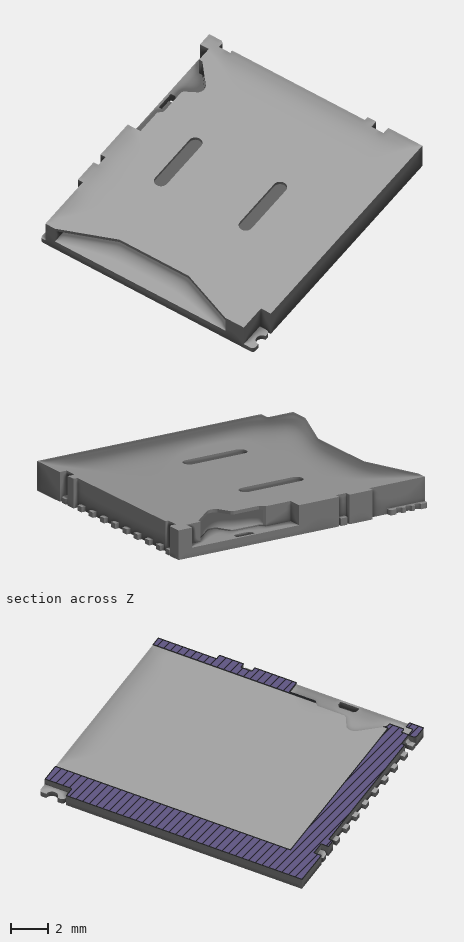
import cadquery as cq

width = 13.85
length = 15.95
height = 1.67
left = -width / 2
right = width / 2
front = -length / 2
back = length / 2

roof_thickness = 0.19
cavity_floor = 0.62
cavity_left = left + 0.94
cavity_width = 11.07
cavity_right = cavity_left + cavity_width
cavity_length = 14.26

finger_depth = 1.32
finger_inner_width = 4.48

slot_width = 0.77
slot_length = 4.0
slot_pitch = 5.5
slot_count = 2
slot_first_x = left + 3.72
slot_center_y = front + 7.61

tab_height = 0.3
tab_gap = 0.11

left_step = 0.32
left_step_length = 3.54
left_tab_length = 2.41
left_tab_round = 0.16
left_scallop_radius = 0.19
left_scallop_first = 0.64
left_scallop_pitch = 0.59
left_scallop_count = 3
right_step = 0.64
right_step_length = 1.63
right_tab_length = right_step_length - tab_gap
right_tab_round = 0.19
right_scallop_radius = 0.33
right_scallop_place = 0.78

latch_slot_depth = 0.32
latch_slot_length = 0.65
latch_slot_start = front + 5.02
latch_height = 0.43

ledge_height = 0.55
window_back_y = back - 0.88
window_front_y = back - 7.7
window_main_depth = 1.08
window_main_back_y = back - 4.23
window_main_front_y = back - 5.87
window_back_depth = 0.57
window_front_depth = 0.83
window_corner_cut = window_main_depth - window_front_depth

nose_start_depth = 0.78
nose_start_y = back - 1.79
nose_tip_back = (left + 1.9, back - 3.08)
nose_tip = (left + 1.98, back - 3.4)
nose_tip_front = (left + 1.85, back - 3.7)
nose_end_cut_x = 0.08
nose_end_cut_y = 0.13

pocket_left = left + 0.41
pocket_width = 0.45
pocket_depth = 0.41
pocket_floor = 0.67
pocket_top = 1.02

ledge_hole_left = left + 0.15
ledge_hole_center_y = back - 4.4
ledge_hole_width = 0.43
ledge_hole_length = 1.15
ledge_hole_chamfer = 0.16
ledge_tab_width = 0.3
ledge_tab_length = 0.77
ledge_tab_chamfer = 0.1
ledge_tab_height = 0.15

pin_row_left = left + 1.67
pin_row_right = left + 10.29
pin_row_depth = 0.25
pin_width = 0.4
pin_pitch = 1.1
pin_first_x = left + 2.0
pin_count = 8
back_notch_depth = 0.45
left_notch_start = left + 0.94
left_notch_chamfer = 0.11
left_back_tab_width = 0.32
left_back_ramp = 0.15
right_notch_start = left + 10.85
right_notch_width = 0.78
right_back_tab_width = 0.7
right_back_tab_chamfer = 0.19


def block(x_min, x_max, y_min, y_max, z_min, z_max):
    """Box given by its limits along each axis."""
    return cq.Workplane("XY").box(
        x_max - x_min, y_max - y_min, z_max - z_min, centered=False
    ).translate((x_min, y_min, z_min))


def edge_tab(inner_x, outer_x, tab_length, corner_round, scallop_radius, scallop_places):
    """Low tab at a front corner, scalloped along its outer side."""
    x_min, x_max = sorted((inner_x, outer_x))
    outer_corners = "|Z and >X" if outer_x > inner_x else "|Z and <X"
    tab = block(x_min, x_max, front, front + tab_length, 0, tab_height)
    tab = tab.edges(outer_corners).fillet(corner_round)
    centers = [(outer_x, front + place) for place in scallop_places]
    scallops = cq.Workplane("XY").pushPoints(centers).circle(scallop_radius).extrude(tab_height)
    return tab.cut(scallops)


def cut_cavity(body):
    cavity = block(
        cavity_left, cavity_right,
        front, front + cavity_length,
        cavity_floor, height - roof_thickness,
    )
    middle_x = (cavity_left + cavity_right) / 2
    finger_recess = (
        cq.Workplane("XY", origin=(0, 0, cavity_floor))
        .moveTo(cavity_left, front)
        .lineTo(middle_x - finger_inner_width / 2, front + finger_depth)
        .lineTo(middle_x + finger_inner_width / 2, front + finger_depth)
        .lineTo(cavity_right, front)
        .close()
        .extrude(height - cavity_floor)
    )
    slots = (
        cq.Workplane("XY", origin=(0, 0, cavity_floor))
        .pushPoints([(slot_first_x + i * slot_pitch, slot_center_y) for i in range(slot_count)])
        .slot2D(slot_length, slot_width, 90)
        .extrude(height - cavity_floor)
    )
    return body.cut(cavity).cut(finger_recess).cut(slots)


def cut_side_window(body):
    main_x = left + window_main_depth
    back_x = left + window_back_depth
    front_x = left + window_front_depth
    window = (
        cq.Workplane("XY", origin=(0, 0, ledge_height))
        .moveTo(left, window_back_y)
        .lineTo(back_x, window_back_y)
        .lineTo(back_x, nose_start_y)
        .lineTo(left + nose_start_depth, nose_start_y)
        .lineTo(*nose_tip_back)
        .threePointArc(nose_tip, nose_tip_front)
        .lineTo(main_x + nose_end_cut_x, window_main_back_y + nose_end_cut_y)
        .lineTo(main_x, window_main_back_y)
        .lineTo(main_x, window_main_front_y)
        .lineTo(front_x, window_main_front_y - window_corner_cut)
        .lineTo(front_x, window_front_y)
        .lineTo(left, window_front_y)
        .close()
        .extrude(height - ledge_height)
    )
    pocket = block(
        pocket_left, pocket_left + pocket_width,
        window_back_y, window_back_y + pocket_depth,
        pocket_floor, pocket_top,
    )
    return body.cut(window).cut(pocket)


def d_shape(shape_width, shape_length, chamfer, shape_height):
    """Upright block in the ledge hole with both inner corners chamfered."""
    shape = block(
        ledge_hole_left,
        ledge_hole_left + shape_width,
        ledge_hole_center_y - shape_length / 2,
        ledge_hole_center_y + shape_length / 2,
        0,
        shape_height,
    )
    return shape.edges("|Z and >X").chamfer(chamfer)


def cut_ledge_hole(body):
    hole = d_shape(ledge_hole_width, ledge_hole_length, ledge_hole_chamfer, ledge_height)
    tab = d_shape(ledge_tab_width, ledge_tab_length, ledge_tab_chamfer, ledge_tab_height)
    return body.cut(hole).union(tab)


def shape_front_corners(body):
    body = body.cut(block(left, left + left_step, front, front + left_step_length, 0, height))
    body = body.cut(block(right - right_step, right, front, front + right_step_length, 0, height))
    left_places = [left_scallop_first + i * left_scallop_pitch for i in range(left_scallop_count)]
    left_tab = edge_tab(
        left + left_step, left, left_tab_length, left_tab_round, left_scallop_radius, left_places
    )
    right_tab = edge_tab(
        right - right_step, right, right_tab_length, right_tab_round,
        right_scallop_radius, [right_scallop_place],
    )
    return body.union(left_tab).union(right_tab)


def shape_latch(body):
    latch_slot_end = latch_slot_start + latch_slot_length
    slot = block(left, left + latch_slot_depth, latch_slot_start, latch_slot_end, 0, height)
    latch = block(
        left, left + latch_slot_depth,
        latch_slot_start + tab_gap, latch_slot_end - tab_gap,
        0, latch_height,
    )
    return body.cut(slot).union(latch)


def shape_back_edge(body):
    notch_y = back - back_notch_depth
    pin_row_y = back - pin_row_depth
    right_notch_end = right_notch_start + right_notch_width

    body = body.cut(block(pin_row_left, pin_row_right, pin_row_y, back, 0, height))
    body = body.cut(block(left_notch_start, pin_row_left, notch_y, back, 0, height))
    body = body.cut(block(right_notch_start, right_notch_end, notch_y, back, 0, height))

    corner = (
        cq.Workplane("XY")
        .moveTo(left_notch_start - left_notch_chamfer, back)
        .lineTo(left_notch_start, back)
        .lineTo(left_notch_start, back - left_notch_chamfer)
        .close()
        .extrude(height)
    )
    body = body.cut(corner)

    for i in range(pin_count):
        pin_x = pin_first_x + i * pin_pitch
        body = body.union(
            block(pin_x - pin_width / 2, pin_x + pin_width / 2, pin_row_y, back, 0, tab_height)
        )

    left_tab = (
        cq.Workplane("YZ", origin=(left_notch_start, 0, 0))
        .moveTo(notch_y, 0)
        .lineTo(back, 0)
        .lineTo(back, tab_height)
        .lineTo(notch_y + left_back_ramp, tab_height)
        .lineTo(notch_y, tab_height + left_back_ramp)
        .close()
        .extrude(left_back_tab_width)
    )
    right_tab_x = (right_notch_start + right_notch_end) / 2
    right_tab = block(
        right_tab_x - right_back_tab_width / 2, right_tab_x + right_back_tab_width / 2,
        notch_y, back, 0, tab_height,
    )
    right_tab = right_tab.edges("|Z and >Y").chamfer(right_back_tab_chamfer)
    return body.union(left_tab).union(right_tab)


body = block(left, right, front, back, 0, height)
body = cut_cavity(body)
body = cut_side_window(body)
body = cut_ledge_hole(body)
body = shape_front_corners(body)
body = shape_latch(body)
result = shape_back_edge(body)